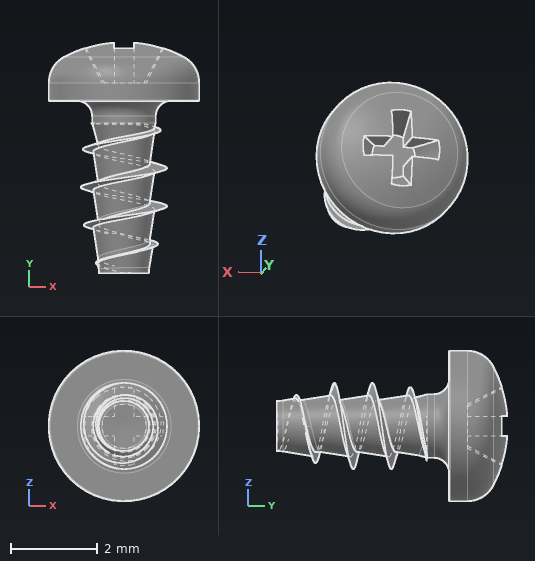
import math

import cadquery as cq


HEAD_RADIUS = 1.75
HEAD_HEIGHT = 1.375
RIM_HEIGHT = 0.42
RIM_EDGE_RADIUS = 0.03
SHOULDER_RADIUS = 0.69

WING_WIDTH = 0.46
RECESS_RIM_RADIUS = 0.91
RECESS_RIM_HEIGHT = 1.225
RECESS_DEPTH = 0.8
RECESS_HALF_ANGLE = 26.5

SHANK_LENGTH = 4.0
NECK_RADIUS = 0.742
NECK_FILLET = 0.345
NECK_LENGTH = 0.5
NECK_TAPER = 0.27
CORE_RADIUS = 0.606
TIP_RADIUS = 0.58
TIP_TAPER = 0.09
DIMPLE_RADIUS = 0.52
DIMPLE_DEPTH = 0.03

PITCH = 0.885
TURNS = 4.0
CREST_RADIUS = 1.0
CREST_START_Y = -0.45
START_CREST_RADIUS = 0.805
RUN_IN_TURNS = 1.0
RUN_OUT_TURNS = 1.5
TOOTH_HALF_ANGLE = 15.0
LEAD_TURNS = 0.3
LEAD_CREST_GAP = 0.02
TAIL_GAP_TURNS = 0.05
ROOT_RADIUS = 0.712
ROOT_END_RADIUS = 0.604
ROOT_SPAN = 0.772
LAST_ROOT_TAPER = 0.145
TIP_CLEARANCE = 0.015
TIP_BURIED_RADIUS = 0.57
BURIED_RADIUS = 0.53
POINTS_PER_TURN = 20


def revolve_about_y(profile):
    return profile.close().revolve(360, (0, 0, 0), (0, 1, 0))


def make_head():
    """Cylindrical rim, rounded shoulder and a dome tangent to the shoulder."""
    shoulder_x = HEAD_RADIUS - SHOULDER_RADIUS
    rise = HEAD_HEIGHT - RIM_HEIGHT
    dome_radius = (shoulder_x**2 + rise**2 - SHOULDER_RADIUS**2) / (2 * (rise - SHOULDER_RADIUS))
    dome_center_y = HEAD_HEIGHT - dome_radius
    join_angle = math.atan2(RIM_HEIGHT - dome_center_y, shoulder_x)
    join = (dome_radius * math.cos(join_angle), dome_center_y + dome_radius * math.sin(join_angle))
    dome_mid_angle = (join_angle + math.pi / 2) / 2
    dome_mid = (
        dome_radius * math.cos(dome_mid_angle),
        dome_center_y + dome_radius * math.sin(dome_mid_angle),
    )
    return revolve_about_y(
        cq.Workplane("XY")
        .lineTo(HEAD_RADIUS - RIM_EDGE_RADIUS, 0)
        .radiusArc((HEAD_RADIUS, RIM_EDGE_RADIUS), -RIM_EDGE_RADIUS)
        .lineTo(HEAD_RADIUS, RIM_HEIGHT)
        .radiusArc(join, -SHOULDER_RADIUS)
        .threePointArc(dome_mid, (0, HEAD_HEIGHT))
    )


def make_recess():
    """Four wings bounded by a cone that narrows toward the recess floor."""
    slope = math.tan(math.radians(RECESS_HALF_ANGLE))
    floor_y = RECESS_RIM_HEIGHT - RECESS_DEPTH
    floor_radius = RECESS_RIM_RADIUS - RECESS_DEPTH * slope
    top_radius = RECESS_RIM_RADIUS + (HEAD_HEIGHT - RECESS_RIM_HEIGHT) * slope
    cone = revolve_about_y(
        cq.Workplane("XY")
        .moveTo(0, floor_y)
        .lineTo(floor_radius, floor_y)
        .lineTo(top_radius, HEAD_HEIGHT)
        .lineTo(0, HEAD_HEIGHT)
    )
    wing = cq.Workplane("XY").box(2 * HEAD_RADIUS, 2 * HEAD_HEIGHT, WING_WIDTH)
    cross = wing.union(wing.rotate((0, 0, 0), (0, 1, 0), 90))
    return cone.intersect(cross)


def make_core():
    """Filleted neck, short lead-in cone, slim core and tapered, dimpled tip."""
    neck_cone_length = (NECK_RADIUS - CORE_RADIUS) / NECK_TAPER
    tip_cone_length = (CORE_RADIUS - TIP_RADIUS) / TIP_TAPER
    return revolve_about_y(
        cq.Workplane("XY")
        .lineTo(NECK_RADIUS + NECK_FILLET, 0)
        .radiusArc((NECK_RADIUS, -NECK_FILLET), -NECK_FILLET)
        .lineTo(NECK_RADIUS, -NECK_LENGTH)
        .lineTo(CORE_RADIUS, -NECK_LENGTH - neck_cone_length)
        .lineTo(CORE_RADIUS, -SHANK_LENGTH + tip_cone_length)
        .lineTo(TIP_RADIUS, -SHANK_LENGTH)
        .lineTo(DIMPLE_RADIUS, -SHANK_LENGTH)
        .lineTo(0, -SHANK_LENGTH + DIMPLE_DEPTH)
    )


def helix_point(turn, radius, drop):
    """Point on the right-hand helix, shifted toward the tip by drop; turn 0 is at -Z."""
    angle = 2 * math.pi * turn
    height = CREST_START_Y - PITCH * turn - drop
    return cq.Vector(radius * math.sin(angle), height, -radius * math.cos(angle))


def helical_solid(section_at, first_turn, last_turn):
    """Solid traced by a polygon of (radius, drop) corners that may vary along the helix."""
    steps = round((last_turn - first_turn) * POINTS_PER_TURN)
    turns = [first_turn + (last_turn - first_turn) * i / steps for i in range(steps + 1)]
    stations = [[helix_point(turn, *corner) for corner in section_at(turn)] for turn in turns]
    rails = [cq.Edge.makeSpline(list(track)) for track in zip(*stations)]
    faces = [
        cq.Face.makeRuledSurface(rail, rails[(i + 1) % len(rails)])
        for i, rail in enumerate(rails)
    ]
    for end in (stations[0], stations[-1]):
        faces.append(cq.Face.makeFromWires(cq.Wire.makePolygon(end, close=True)))
    return cq.Workplane(obj=cq.Solid.makeSolid(cq.Shell.makeShell(faces)).fix())


def thread_section(turn):
    """Sharp tooth followed by a root that slopes down toward the next tooth.

    The crest follows the helix, but on the lead-in it is held just below the
    neck. Near the tip the tooth and root shrink until they reach the core.
    """
    crest_height = SHANK_LENGTH + CREST_START_Y - PITCH * turn
    run_in = START_CREST_RADIUS + (CREST_RADIUS - START_CREST_RADIUS) * turn / RUN_IN_TURNS
    run_out = TIP_RADIUS + (CREST_RADIUS - TIP_RADIUS) * (TURNS - turn) / RUN_OUT_TURNS
    crest = min(CREST_RADIUS, run_in, run_out)
    root = min(ROOT_RADIUS, TIP_RADIUS + LAST_ROOT_TAPER * crest_height)
    flank_slope = math.tan(math.radians(TOOTH_HALF_ANGLE))
    crest_drop = max(0, crest_height - (SHANK_LENGTH - NECK_LENGTH - LEAD_CREST_GAP))
    root_end = min(ROOT_SPAN, crest_height - TIP_CLEARANCE)
    tip_limit = TIP_BURIED_RADIUS + LAST_ROOT_TAPER * (crest_height - root_end)
    root_end_radius = min(ROOT_END_RADIUS, tip_limit)
    return [
        (BURIED_RADIUS, crest_drop - (crest - BURIED_RADIUS) * flank_slope),
        (crest, crest_drop),
        (root, crest_drop + (crest - root) * flank_slope),
        (root_end_radius, root_end),
        (BURIED_RADIUS, root_end),
    ]


def make_thread():
    """Thread cut off flat where it would climb past the end of the neck."""
    thread = helical_solid(thread_section, -LEAD_TURNS, TURNS - TAIL_GAP_TURNS)
    below_neck = (
        cq.Workplane("XZ", origin=(0, -NECK_LENGTH, 0)).circle(HEAD_RADIUS).extrude(SHANK_LENGTH)
    )
    return thread.intersect(below_neck)


blank = make_head().union(make_core()).cut(make_recess())
result = blank.union(make_thread(), clean=False)